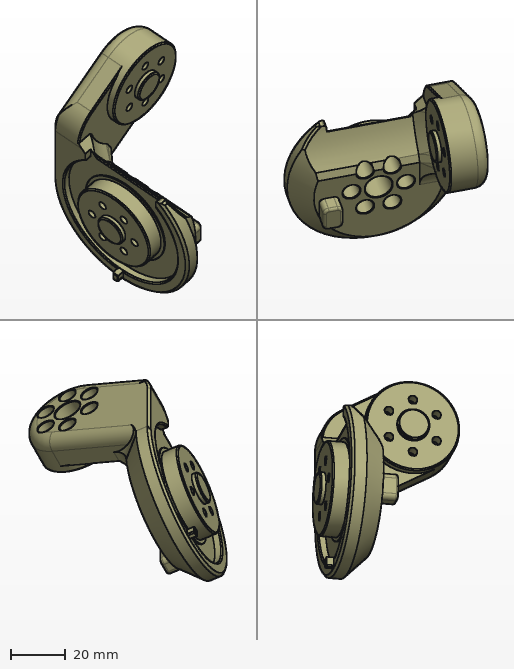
import cadquery as cq
import math


overall_height = 85.0

disc_radius = 32.5
plate_back = 13.5
back_chamfer = 8.0
front_chamfer = 1.0
edge_break = 0.5

recess_radius = 27.45
recess_depth = 3.0
slot_half_width = 17.0
plate_top = 23.0
rim_top = 25.5
tip_fillet = 1.0
tip_chamfer = 0.8

arm_radius = 17.5
arm_y = 33.5
arm_z = overall_height - disc_radius - arm_radius
arm_slope = 30
beam_thickness = 12.2
boss_thickness = 15.5
arm_fillet = 5.0
shoulder_radius = 15.0
throat_radius = 10.0

clearance_radius = 32.0
clearance_back_chamfer = 1.5
gusset_size = 4.8
gusset_foot_x = -14.45

flange_radius = 17.5
flange_height = 4.0
step_radius = 19.0
step_height = 0.5
pilot_radius = 5.95
pilot_height = 2.0
bolt_circle_radius = 10.3
bolt_count = 6
bolt_hole_radius = 1.6
counterbore_radius = 3.2
bore_radius = 5.1
bore_floor = 5.0
rim_break = 0.25

block_width = 7.5
block_height = 10.2
block_x = 18.8
block_z = -6.0
block_top = 19.55
block_corner = 2.0
block_edge_fillet = 1.0

key_width = 2.55
key_top = -recess_radius
key_bottom = -31.0
key_front = -2.9

left_x = -disc_radius
beam_x = left_x + beam_thickness
boss_x = left_x + boss_thickness
gusset_x = beam_x + gusset_size
slope_sin = math.sin(math.radians(arm_slope))
slope_cos = math.cos(math.radians(arm_slope))
slope_tan = slope_sin / slope_cos
upper_tangent = (arm_y - arm_radius * slope_sin, arm_z + arm_radius * slope_cos)
lower_tangent = (arm_y + arm_radius * slope_sin, arm_z - arm_radius * slope_cos)
far = 127.5
tolerance = 0.1


def edges_inside(x_range, y_range, z_range):
    """Selector for edges whose centre lies inside the given ranges."""
    low, high = zip(x_range, y_range, z_range)
    return cq.selectors.BoxSelector(low, high)


def upper_line_z(y):
    return upper_tangent[1] - (upper_tangent[0] - y) * slope_tan


def lower_line_z(y):
    return lower_tangent[1] - (lower_tangent[0] - y) * slope_tan


def cylinder_y(x, z, radius, y_start, y_end):
    """Cylinder along +Y from y_start to y_end."""
    plane = cq.Plane(origin=(x, y_start, z), xDir=(-1, 0, 0), normal=(0, 1, 0))
    return cq.Workplane(plane).circle(radius).extrude(y_end - y_start)


def cylinder_x(y, z, radius, x_start, x_end):
    """Cylinder along +X from x_start to x_end."""
    return cq.Workplane("YZ", origin=(x_start, y, z)).circle(radius).extrude(x_end - x_start)


def plate_blank():
    """Disc squared off at its upper left corner, chamfered front and back."""
    diagonal = disc_radius * math.sqrt(0.5)
    outline = (
        cq.Workplane("XZ")
        .moveTo(0, disc_radius)
        .lineTo(left_x, disc_radius)
        .lineTo(left_x, 0)
        .threePointArc((0, -disc_radius), (disc_radius, 0))
        .threePointArc((diagonal, diagonal), (0, disc_radius))
        .close()
    )
    return (
        outline.extrude(-plate_back)
        .faces(">Y").chamfer(back_chamfer)
        .faces("<Y").chamfer(front_chamfer)
    )


def arm_bar():
    """Sloping bar with a round upper end; its outer edges are filleted."""
    foot_y = plate_back - back_chamfer
    foot_z = lower_line_z(foot_y)
    bar = (
        cq.Workplane("YZ", origin=(left_x, 0, 0))
        .moveTo(0, upper_line_z(0))
        .lineTo(*upper_tangent)
        .threePointArc((arm_y + arm_radius * slope_cos, arm_z + arm_radius * slope_sin), lower_tangent)
        .lineTo(foot_y, foot_z)
        .lineTo(0, foot_z)
        .close()
        .extrude(gusset_x - left_x)
    )
    outer_edges = bar.faces("<X").edges("not(#Z or #Y)")
    return outer_edges.fillet(arm_fillet)


def throat():
    """Concave corner between the bar and the plate back, flared toward the -X side."""
    centre_y = plate_back + throat_radius
    centre_z = lower_line_z(centre_y) - throat_radius / slope_cos
    reach = throat_radius + back_chamfer
    corner_rise = reach * math.tan(math.radians(90 - arm_slope) / 2)
    web = (
        cq.Workplane("YZ", origin=(left_x, centre_y, centre_z))
        .polyline([
            (0, 0),
            (-reach, 0),
            (-reach, corner_rise),
            (-reach * slope_sin, reach * slope_cos),
        ])
        .close()
        .extrude(gusset_x - left_x)
    )
    hollow = (
        cq.Workplane("XY", origin=(0, centre_y, centre_z))
        .polyline([
            (left_x, 0),
            (left_x, reach),
            (left_x + back_chamfer, throat_radius),
            (gusset_x, throat_radius),
            (gusset_x, 0),
        ])
        .close()
        .revolve(360, (0, 0, 0), (1, 0, 0))
    )
    return web.cut(hollow)


def shoulder_section(x):
    """Outline at x of everything behind the plate front and the rounded shoulder above it."""
    half_turn = math.radians(90 - arm_slope) / 2
    run = shoulder_radius * math.tan(half_turn)
    arc_start = (0, upper_line_z(0) - run)
    arc_middle = (
        shoulder_radius * (1 - math.cos(half_turn)),
        arc_start[1] + shoulder_radius * math.sin(half_turn),
    )
    arc_end = (run * slope_cos, upper_line_z(run * slope_cos))
    return (
        cq.Workplane("YZ", origin=(x, 0, 0))
        .moveTo(0, -far)
        .lineTo(*arc_start)
        .threePointArc(arc_middle, arc_end)
        .lineTo(far, upper_line_z(far))
        .lineTo(far, -far)
        .close()
    )


def shoulder_envelope():
    """Space behind the shoulder outline, with its front edges chamfered on the -X side."""
    envelope = shoulder_section(left_x).extrude(far)
    front_edges = edges_inside((left_x - 0.85, left_x + 0.85), (-0.85, shoulder_radius), (-far, upper_line_z(0)))
    return envelope.edges(front_edges).chamfer(front_chamfer)


def beam_edge():
    """Material broken off the upper inner edge of the beam, clear of the boss and the gusset."""
    start_x = beam_x - edge_break
    kept = shoulder_section(start_x).extrude(edge_break, taper=45)
    broken = shoulder_section(start_x).extrude(edge_break).cut(kept)
    gusset_top = plate_top + gusset_foot_x - beam_x
    above_gusset = cq.Workplane("XY", origin=(beam_x, 0, gusset_top)).box(
        far, 2 * upper_tangent[0], far, centered=(True, True, False)
    )
    return broken.intersect(above_gusset).cut(arm_boss())


def clearance_wall_y(z):
    return arm_y - math.sqrt(clearance_radius**2 - (arm_z - z) ** 2)


def clearance_wall_z(y):
    return arm_z - math.sqrt(clearance_radius**2 - (arm_y - y) ** 2)


def clearance_section():
    """Outline of the clearance round the arm axis, with the plate back and rim top as its limits."""
    chamfer_y = plate_back - clearance_back_chamfer
    chamfer_z = clearance_wall_z(chamfer_y)
    middle_z = (chamfer_z + rim_top) / 2
    return (
        cq.Workplane("YZ", origin=(gusset_x, 0, 0))
        .moveTo(plate_back, -far)
        .lineTo(plate_back, clearance_wall_z(plate_back) - clearance_back_chamfer)
        .lineTo(chamfer_y, chamfer_z)
        .threePointArc((clearance_wall_y(middle_z), middle_z), (clearance_wall_y(rim_top), rim_top))
        .lineTo(-far, rim_top)
        .lineTo(-far, far)
        .lineTo(far, far)
        .lineTo(far, -far)
        .close()
    )


def clearance():
    """Space swept round the arm axis, tapered at 45 degrees where it meets the beam."""
    straight = clearance_section().extrude(far)
    tapered = clearance_section().extrude(-gusset_size, taper=45)
    return straight.union(tapered).cut(arm_boss())


def top_opening():
    """Flat cut across the top of the plate, running up to the beam at 45 degrees."""
    rise = gusset_foot_x - beam_x
    return (
        cq.Workplane("XZ", origin=(0, plate_back, 0))
        .polyline([
            (gusset_foot_x, plate_top),
            (slot_half_width, plate_top),
            (slot_half_width, far),
            (beam_x, far),
            (beam_x, plate_top + rise),
        ])
        .close()
        .extrude(plate_back)
    )


def recess():
    """Round recess in the plate front, open upward between the slot walls."""
    pocket = cylinder_y(0, 0, recess_radius, 0, recess_depth)
    mouth = cq.Workplane(cq.Solid.makeCone(
        recess_radius + edge_break, recess_radius, edge_break, cq.Vector(0, 0, 0), cq.Vector(0, 1, 0)
    ))
    opening = cq.Workplane("XY").box(
        2 * slot_half_width, recess_depth, far, centered=(True, False, False)
    )
    keep_below = math.sqrt(recess_radius**2 - slot_half_width**2)
    opening = opening.cut(cq.Workplane("XY").box(far, far, keep_below, centered=(True, True, False)))
    return pocket.union(mouth).union(opening)


def flange():
    """Round flange on the plate front with a low step at its foot and a pilot on its face."""
    step = cylinder_y(0, 0, step_radius, recess_depth - step_height, recess_depth)
    disc = cylinder_y(0, 0, flange_radius, -flange_height, recess_depth).faces("<Y").chamfer(edge_break)
    pilot = cylinder_y(0, 0, pilot_radius, -flange_height - pilot_height, 0).faces("<Y").chamfer(edge_break)
    return step.union(disc).union(pilot)


def arm_boss():
    """Round end of the arm at its full thickness."""
    return cylinder_x(arm_y, arm_z, arm_radius, left_x, boss_x).faces(">X").chamfer(edge_break)


def arm_pilot():
    """Pilot on the +X face of the arm boss."""
    pilot = cylinder_x(arm_y, arm_z, pilot_radius, boss_x, boss_x + pilot_height)
    return pilot.faces(">X").chamfer(edge_break)


def interface_bores(depth):
    """Bolt holes, counterbores and centre bore, entered at z = 0 and running in +Z through depth."""
    def bore(x, y, radius, length):
        hole = cq.Workplane("XY", origin=(x, y, 0)).circle(radius).extrude(length)
        rim = cq.Solid.makeCone(radius + rim_break, radius, rim_break, cq.Vector(x, y, 0))
        return hole.union(cq.Workplane(rim))

    counter_depth = depth - bore_floor
    bores = bore(0, 0, bore_radius, counter_depth)
    for i in range(bolt_count):
        angle = math.radians(360 / bolt_count * i)
        x = bolt_circle_radius * math.cos(angle)
        y = bolt_circle_radius * math.sin(angle)
        bores = bores.union(bore(x, y, counterbore_radius, counter_depth))
        bores = bores.union(cq.Workplane("XY", origin=(x, y, 0)).circle(bolt_hole_radius).extrude(depth))
    return bores


def stop_block():
    """Rounded block on the plate back, rooted inside the plate."""
    root = plate_back / 2
    return (
        cq.Workplane("XZ", origin=(block_x, root, block_z))
        .rect(block_width, block_height)
        .extrude(root - block_top)
        .edges("|Y").fillet(block_corner)
        .faces(">Y").edges().fillet(block_edge_fillet)
    )


def index_key():
    """Small key standing on the rim at its lowest point."""
    return (
        cq.Workplane("XZ", origin=(0, recess_depth, 0))
        .center(0, (key_top + key_bottom) / 2)
        .rect(key_width, key_top - key_bottom)
        .extrude(recess_depth - key_front)
        .edges("|Y and <Z").chamfer(edge_break)
        .faces("<Y").chamfer(rim_break)
    )


def break_plate_edge(solid):
    """Chamfers the edge between the recess floor and the flat top of the plate."""
    edge = edges_inside(
        (gusset_foot_x, slot_half_width),
        (recess_depth - tolerance, recess_depth + tolerance),
        (plate_top - tolerance, plate_top + tolerance),
    )
    return solid.edges(edge).chamfer(edge_break)


def soften_rim_tip(solid):
    """Rounds the inner corner of the rim tip, then chamfers the tip along its outer surface."""
    corner = edges_inside(
        (slot_half_width - tolerance, slot_half_width + tolerance),
        (0, recess_depth),
        (rim_top - tolerance, rim_top + tolerance),
    )
    solid = solid.edges(corner).fillet(tip_fillet)
    tip_x = math.sqrt(disc_radius**2 - rim_top**2)
    outer_edges = edges_inside(
        (tip_x - tolerance, disc_radius),
        (0, plate_back - back_chamfer),
        (plate_top - edge_break - tolerance, rim_top + tolerance),
    )
    return solid.edges(outer_edges).chamfer(tip_chamfer)


body = plate_blank().union(arm_bar()).union(throat())
body = body.intersect(shoulder_envelope())
body = body.cut(clearance())
body = body.cut(top_opening())
body = body.cut(beam_edge())
body = body.cut(recess())
body = break_plate_edge(body)
body = soften_rim_tip(body)

body = body.union(flange()).union(arm_pilot()).union(stop_block()).union(index_key())

arm_bores = interface_bores(boss_thickness)
arm_bores = arm_bores.rotate((0, 0, 0), (0, 1, 0), 90).translate((left_x, arm_y, arm_z))
plate_bores = interface_bores(plate_back + flange_height)
plate_bores = plate_bores.rotate((0, 0, 0), (1, 0, 0), 90).translate((0, plate_back, 0))
result = body.cut(arm_bores).cut(plate_bores).clean()